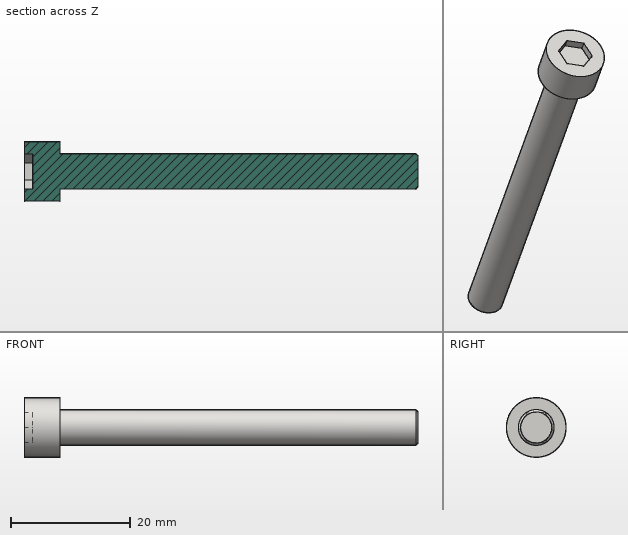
import cadquery as cq
import math

total_length = 66.0
head_diameter = 10.0
head_height = 6.0
shank_diameter = 6.0
tip_chamfer = 0.4
socket_across_flats = 5.0
socket_depth = 1.4

shank_length = total_length - head_height
socket_across_corners = socket_across_flats / math.cos(math.pi / 6)


def make_head():
    """Plain cylinder from X = 0 to the bearing face."""
    return cq.Workplane("YZ").circle(head_diameter / 2).extrude(head_height)


def make_shank():
    """Smooth shank from the bearing face, chamfered at the tip."""
    shank = cq.Workplane("YZ", origin=(head_height, 0, 0)).circle(shank_diameter / 2).extrude(shank_length)
    return shank.faces(">X").chamfer(tip_chamfer)


def make_socket():
    """Hexagonal drive recess with two corners on the Y axis."""
    return cq.Workplane("YZ").polygon(6, socket_across_corners).extrude(socket_depth)


result = make_head().union(make_shank()).cut(make_socket())